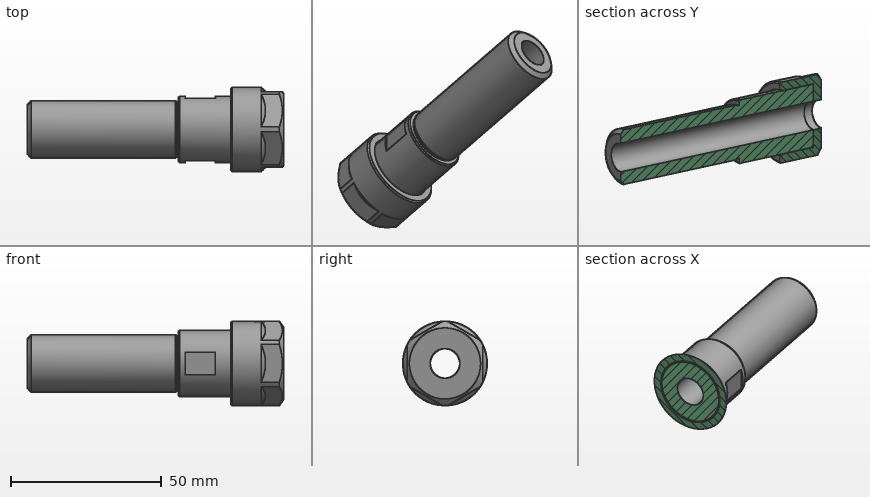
import cadquery as cq
import math

total_length = 85.1
rear_x = -total_length / 2
front_x = total_length / 2
bore_diameter = 9.7

shank_diameter = 19.1
shank_rear_chamfer_length = 1.4
shank_rear_face_diameter = 16.1
collar_diameter = 22.0
collar_start_x = rear_x + 50.1
collar_chamfer_length = 0.5
collar_chamfer_depth = 0.4

relief_diameter = 18.5
relief_width = 1.0
relief_ramp_length = 0.4

collar_flat_start_x = collar_start_x + 2.3
collar_flat_length = 9.95
collar_flat_spacing = 20.8

nut_diameter = 28.0
nut_rear_x = rear_x + 67.5
nut_rear_chamfer = 0.5
nut_front_face_diameter = 23.6
nut_front_chamfer_length = 1.5
nut_front_wall = 3.4
nut_entry_diameter = 22.5
nut_entry_depth = 0.85
hex_across_flats = 25.0
hex_side_count = 6
hex_start_x = rear_x + 77.5
hex_runout_angle = 45.0

shank_front_x = front_x - nut_front_wall


def revolve_about_x(profile_points):
    """Revolve a closed outline of (x, radius) points about the X axis."""
    outline = cq.Workplane("XY").polyline(profile_points).close()
    return outline.revolve(360, (0, 0, 0), (1, 0, 0))


def cylinder_along_x(diameter, start_x, end_x):
    return cq.Workplane("YZ", origin=(start_x, 0, 0)).circle(diameter / 2).extrude(end_x - start_x)


def make_shank():
    relief_start_x = collar_start_x - relief_width
    body = revolve_about_x([
        (rear_x, bore_diameter / 2),
        (rear_x, shank_rear_face_diameter / 2),
        (rear_x + shank_rear_chamfer_length, shank_diameter / 2),
        (relief_start_x, shank_diameter / 2),
        (relief_start_x + relief_ramp_length, relief_diameter / 2),
        (collar_start_x, relief_diameter / 2),
        (collar_start_x, collar_diameter / 2 - collar_chamfer_depth),
        (collar_start_x + collar_chamfer_length, collar_diameter / 2),
        (shank_front_x, collar_diameter / 2),
        (shank_front_x, bore_diameter / 2),
    ])
    return cut_collar_flats(body)


def cut_collar_flats(body):
    flat_center_x = collar_flat_start_x + collar_flat_length / 2
    for side in (-1, 1):
        cutter = cq.Workplane("XY").box(collar_flat_length, collar_diameter, collar_diameter)
        cutter_center_y = side * (collar_flat_spacing + collar_diameter) / 2
        body = body.cut(cutter.translate((flat_center_x, cutter_center_y, 0)))
    return body


def make_nut():
    nut_radius = nut_diameter / 2
    front_face_radius = nut_front_face_diameter / 2
    body = revolve_about_x([
        (nut_rear_x, 0),
        (nut_rear_x, nut_radius - nut_rear_chamfer),
        (nut_rear_x + nut_rear_chamfer, nut_radius),
        (front_x - nut_front_chamfer_length, nut_radius),
        (front_x, front_face_radius),
        (front_x, 0),
    ])
    body = body.intersect(make_hex_envelope())
    body = body.cut(cylinder_along_x(collar_diameter, nut_rear_x, shank_front_x))
    body = body.cut(cylinder_along_x(nut_entry_diameter, nut_rear_x, nut_rear_x + nut_entry_depth))
    return body.cut(cylinder_along_x(bore_diameter, shank_front_x, front_x))


def make_hex_envelope():
    """Hexagonal bar joined to a round rear part whose front tapers into the flats."""
    hex_corner_diameter = hex_across_flats / math.cos(math.pi / hex_side_count)
    hex_bar = (
        cq.Workplane("YZ", origin=(nut_rear_x, 0, 0))
        .polygon(hex_side_count, hex_corner_diameter)
        .extrude(front_x - nut_rear_x)
        .rotate((0, 0, 0), (1, 0, 0), math.degrees(math.pi / hex_side_count))
    )
    cone_end_radius = bore_diameter / 2
    cone_length = (nut_diameter / 2 - cone_end_radius) / math.tan(math.radians(hex_runout_angle))
    round_rear = revolve_about_x([
        (nut_rear_x, 0),
        (nut_rear_x, nut_diameter / 2),
        (hex_start_x, nut_diameter / 2),
        (hex_start_x + cone_length, cone_end_radius),
        (hex_start_x + cone_length, 0),
    ])
    return hex_bar.union(round_rear)


shank = make_shank()
nut = make_nut()
result = cq.Compound.makeCompound([shank.val(), nut.val()])